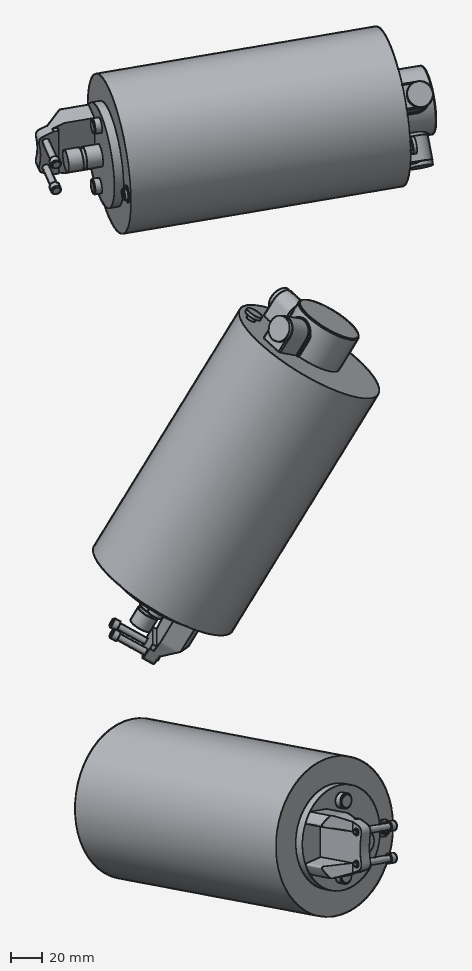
import cadquery as cq
import math


total_length = 254.7
housing_radius = 52.0
housing_length = 185.5
boss_radius = 22.5
boss_length = 25.5
boss_chamfer = 0.8
flange_radius = 34.5
flange_thickness = 6.0

boss_end_y = total_length / 2
rear_y = boss_end_y - boss_length
front_y = rear_y - housing_length
flange_y = front_y - flange_thickness
tip_y = -total_length / 2

connector_angles = (45.0, -45.0)
connector_axis_height = 12.5
connector_half_width = 8.7
connector_reach = 39.7
connector_chamfer = 1.0
collar_half_width = 9.7
collar_reach = 22.5
plug_radius = 8.5
plug_reach = 41.8

lock_x = 43.3
lock_washer_radius = 5.5
lock_washer_thickness = 0.5
lock_head_radius = 3.8
lock_head_height = 3.0
lock_head_chamfer = 0.8
lock_slot_width = 0.8
lock_slot_depth = 1.3
knob_neck_radius = 3.0
knob_neck_length = 2.8
knob_radius = 5.5
knob_thickness = 2.3

spindle_radius = 7.5
spindle_length = 22.7
spindle_groove_start = 10.5
spindle_groove_width = 2.3
spindle_groove_depth = 0.8

bolt_offset_z = 24.5
bolt_radius = 5.0
bolt_height = 5.0
bolt_chamfer = 0.8

screw_z = 10.5
lobe_radius = 4.5
screw_y = tip_y + lobe_radius
screw_radius = 2.3
screw_tip_length = 1.3
screw_tip_radius = 1.5
screw_head_x = 10.2
screw_head_radius = 3.3
screw_head_length = 5.0
screw_head_chamfer = 0.8

bracket_half_height = 20.5
bracket_face_x = -13.2
plate_back_x = -18.3
pad_face_x = -10.2
pad_half_height = 17.3
pad_start_y = -114.0
taper_angle = 21.0
taper_blend_radius = 5.0
notch_angle = 12.0
wall_cut_x = -31.3
wall_cut_start_y = -104.5
wall_cut_end_y = -119.5
channel_floor_half_height = 10.2
channel_mouth_half_height = 13.5
wall_edge_radius = 1.3


def rod(radius, start_y, end_y, x=0.0, z=0.0):
    """A cylinder parallel to Y, from start_y up to end_y."""
    return cq.Workplane("XZ", origin=(x, start_y, z)).circle(radius).extrude(start_y - end_y)


def arched_bar(half_width, reach):
    """A bar along +X standing on the rear face of the housing, with a round top."""
    axis_y = rear_y + connector_axis_height
    return (
        cq.Workplane("YZ")
        .moveTo(rear_y, -half_width)
        .lineTo(axis_y, -half_width)
        .threePointArc((axis_y + half_width, 0), (axis_y, half_width))
        .lineTo(rear_y, half_width)
        .close()
        .extrude(reach)
    )


def make_connector(angle):
    """One connector of the housing, turned about Y so that it rises from +X toward +Z."""
    collar = arched_bar(collar_half_width, collar_reach)
    bar = arched_bar(connector_half_width, connector_reach).faces(">X").edges("not <Y")
    bar = bar.chamfer(connector_chamfer)
    plug = (
        cq.Workplane("YZ", origin=(0, rear_y + connector_axis_height, 0))
        .circle(plug_radius)
        .extrude(plug_reach)
    )
    return collar.union(bar).union(plug).rotate((0, 0, 0), (0, 1, 0), -angle)


def make_lock_screw():
    """The slotted head on the front face of the housing."""
    head_y = front_y - lock_head_height
    washer = rod(lock_washer_radius, front_y - lock_washer_thickness, front_y, x=lock_x)
    head = rod(lock_head_radius, head_y, front_y, x=lock_x).faces("<Y").chamfer(lock_head_chamfer)
    slot = cq.Workplane("XY").box(lock_slot_width, 2 * lock_slot_depth, 2 * lock_head_radius)
    return washer.union(head.cut(slot.translate((lock_x, head_y, 0))))


def make_knob():
    """The knob on the rear face of the housing, in line with the slotted head."""
    neck_end_y = rear_y + knob_neck_length
    neck = rod(knob_neck_radius, rear_y, neck_end_y, x=lock_x)
    return neck.union(rod(knob_radius, neck_end_y, neck_end_y + knob_thickness, x=lock_x))


def make_housing():
    housing = rod(housing_radius, front_y, rear_y)
    housing = housing.union(rod(flange_radius, flange_y, front_y))
    for angle in connector_angles:
        housing = housing.union(make_connector(angle))
    boss = rod(boss_radius, rear_y, boss_end_y).faces(">Y").chamfer(boss_chamfer)
    return housing.union(boss).union(make_lock_screw()).union(make_knob())


def make_spindle():
    groove_y = flange_y - spindle_groove_start
    groove_end_y = groove_y - spindle_groove_width
    groove = rod(spindle_radius, groove_end_y, groove_y).cut(
        rod(spindle_radius - spindle_groove_depth, groove_end_y, groove_y)
    )
    return rod(spindle_radius, flange_y - spindle_length, flange_y).cut(groove)


def make_bolt(z):
    return rod(bolt_radius, flange_y - bolt_height, flange_y, z=z).faces("<Y").chamfer(bolt_chamfer)


def make_adjusting_screw(z):
    plane = cq.Workplane("YZ", origin=(plate_back_x, screw_y, z))
    shank_length = screw_head_x - plate_back_x
    tip = plane.circle(screw_tip_radius).extrude(-screw_tip_length)
    shank = plane.circle(screw_radius).extrude(shank_length)
    head = (
        plane.workplane(offset=shank_length)
        .circle(screw_head_radius)
        .extrude(screw_head_length)
        .faces(">X")
        .chamfer(screw_head_chamfer)
    )
    return tip.union(shank).union(head)


def lobe_point(angle):
    """Point (y, z) on the upper screw lobe, at an angle from -Y toward +Z."""
    turn = math.radians(angle)
    return screw_y - lobe_radius * math.cos(turn), screw_z + lobe_radius * math.sin(turn)


def bracket_blank():
    """A solid bar along X, with straight flanks that taper to two lobes joined by a shallow hollow."""
    taper_end = lobe_point(90 - taper_angle)
    lobe_tip = lobe_point(0)
    lobe_end = lobe_point(-notch_angle)
    notch_y = lobe_end[0] + lobe_end[1] * math.tan(math.radians(notch_angle / 2))
    taper_drop = bracket_half_height - taper_end[1]
    taper_start_y = taper_end[0] + taper_drop / math.tan(math.radians(taper_angle))
    blank = (
        cq.Workplane("YZ", origin=(-flange_radius, 0, 0))
        .moveTo(flange_y, bracket_half_height)
        .lineTo(taper_start_y, bracket_half_height)
        .lineTo(*taper_end)
        .threePointArc(lobe_tip, lobe_end)
        .threePointArc((notch_y, 0), (lobe_end[0], -lobe_end[1]))
        .threePointArc((lobe_tip[0], -lobe_tip[1]), (taper_end[0], -taper_end[1]))
        .lineTo(taper_start_y, -bracket_half_height)
        .lineTo(flange_y, -bracket_half_height)
        .close()
        .extrude(flange_radius + pad_face_x)
    )
    for z in (bracket_half_height, -bracket_half_height):
        corner = cq.selectors.NearestToPointSelector((-flange_radius / 2, taper_start_y, z))
        blank = blank.edges(corner).fillet(taper_blend_radius)
    return blank


def bracket_side_profile():
    """The bracket seen along Z: channel walls, sloping end and plate, with the pad behind."""
    slope = (wall_cut_end_y - wall_cut_start_y) / (plate_back_x - wall_cut_x)
    outer_x = -flange_radius
    outer_y = wall_cut_start_y + slope * (outer_x - wall_cut_x)
    body = (
        cq.Workplane("XY", origin=(0, 0, -bracket_half_height))
        .polyline(
            [
                (outer_x, flange_y),
                (outer_x, outer_y),
                (plate_back_x, wall_cut_end_y),
                (plate_back_x, tip_y),
                (bracket_face_x, tip_y),
                (bracket_face_x, flange_y),
            ]
        )
        .close()
        .extrude(2 * bracket_half_height)
    )
    pad = cq.Workplane("XY").box(
        pad_face_x - bracket_face_x,
        pad_start_y - tip_y,
        2 * pad_half_height,
        centered=(False, False, True),
    )
    return body.union(pad.translate((bracket_face_x, tip_y, 0)))


def bracket_channel():
    """The tapered channel between the walls, open toward -X and along its full length."""
    return (
        cq.Workplane("XZ", origin=(0, flange_y, 0))
        .polyline(
            [
                (plate_back_x, channel_floor_half_height),
                (-flange_radius, channel_mouth_half_height),
                (-flange_radius, -channel_mouth_half_height),
                (plate_back_x, -channel_floor_half_height),
            ]
        )
        .close()
        .extrude(flange_y - tip_y)
    )


def make_bracket():
    walls = rod(flange_radius, tip_y, flange_y).cut(bracket_channel())
    bracket = bracket_blank().intersect(bracket_side_profile()).intersect(walls)
    mouth_y = (flange_y + wall_cut_start_y) / 2
    for z in (channel_mouth_half_height, -channel_mouth_half_height):
        wall_edge = cq.selectors.NearestToPointSelector((-flange_radius, mouth_y, z))
        bracket = bracket.edges("|Y").edges(wall_edge).fillet(wall_edge_radius)
    for z in (screw_z, -screw_z):
        bracket = bracket.cut(make_adjusting_screw(z))
    return bracket


housing = make_housing()
spindle = make_spindle()
bracket = make_bracket()
bolts = [make_bolt(z).val() for z in (bolt_offset_z, -bolt_offset_z)]
adjusting_screws = [make_adjusting_screw(z).val() for z in (screw_z, -screw_z)]

result = cq.Compound.makeCompound(
    [housing.val(), spindle.val(), bracket.val(), *bolts, *adjusting_screws]
)